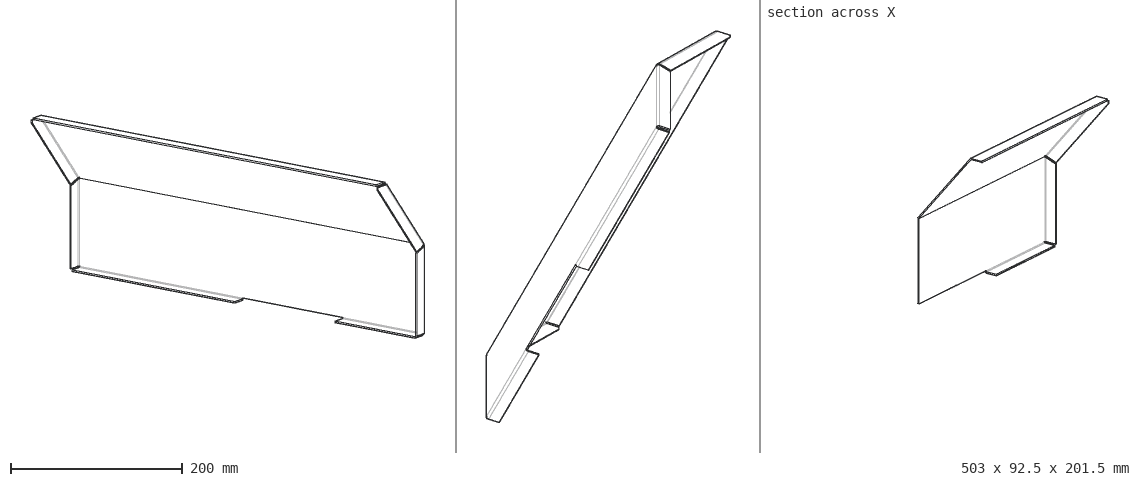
import cadquery as cq
import math

length = 503.0
depth = 92.5
height = 201.5

thickness = 2.0
inner_radius = 1.0
outer_radius = inner_radius + thickness
flange_width = 16.5

lean_angle = 39.7
lean = math.radians(lean_angle)
top_rear_y = -(depth - flange_width)
knee_z = height + top_rear_y / math.tan(lean)

knee_slit = 2.0
opening_start = 239.0
opening_end = 384.0


def make_wall():
    """Bent wall with its top and bottom flanges, between the side bends."""
    outer_bottom = (0, 0)
    outer_top = (top_rear_y, height)
    inner_bottom = (-thickness, thickness)
    inner_knee = (-thickness, knee_z - thickness * math.tan(lean / 2))
    top_half_turn = (math.pi / 2 - lean) / 2
    inner_top = (top_rear_y - thickness * math.tan(top_half_turn), height - thickness)
    outline = [
        (-flange_width, 0),
        outer_bottom,
        (0, knee_z),
        outer_top,
        (-depth, height),
        (-depth, height - thickness),
        inner_top,
        inner_knee,
        inner_bottom,
        (-flange_width, thickness),
    ]
    wall_length = length - 2 * outer_radius
    wall = cq.Workplane("YZ").workplane(offset=outer_radius).polyline(outline).close().extrude(wall_length)
    bends = [
        (outer_bottom, outer_radius),
        (outer_top, outer_radius),
        (inner_bottom, inner_radius),
        (inner_top, inner_radius),
    ]
    for (y, z), radius in bends:
        wall = wall.edges("|X").edges(cq.NearestToPointSelector((length / 2, y, z))).fillet(radius)
    return wall


def make_opening():
    """Cutter that removes the bottom flange and its bend over the opening."""
    return cq.Workplane("XY").box(
        opening_end - opening_start, 2 * flange_width, outer_radius, centered=(False, True, False)
    ).translate((opening_start, 0, 0))


def flange_strip():
    """Left bend and flange, standing on the XY plane."""
    diagonal = math.sqrt(0.5)
    return (
        cq.Workplane("XY")
        .moveTo(outer_radius, 0)
        .threePointArc((outer_radius * (1 - diagonal), -outer_radius * (1 - diagonal)), (0, -outer_radius))
        .lineTo(0, -flange_width)
        .lineTo(thickness, -flange_width)
        .lineTo(thickness, -outer_radius)
        .threePointArc(
            (outer_radius - inner_radius * diagonal, -outer_radius + inner_radius * diagonal),
            (outer_radius, -thickness),
        )
        .close()
        .extrude(2 * height)
        .translate((0, 0, -height))
    )


def side_region(outline):
    """Prism over the left bend that trims a flange strip to a YZ outline."""
    return cq.Workplane("YZ").polyline(outline).close().extrude(outer_radius)


def make_left_side():
    """Lower and upper side flanges, mitred at the knee with a slit between them."""
    knee = (0, knee_z)
    miter_end = (-depth, knee_z - depth * math.tan(lean / 2))
    side_top = height - outer_radius

    lower = flange_strip().intersect(
        side_region([(0, outer_radius), knee, miter_end, (-depth, outer_radius)])
    )
    upper = flange_strip().rotate((0, 0, 0), (1, 0, 0), lean_angle).translate((0, 0, knee_z))
    upper_rear = (-(side_top - knee_z) * math.tan(lean), side_top)
    upper = upper.intersect(side_region([knee, upper_rear, (-depth, side_top), miter_end]))

    slit = (
        cq.Workplane("XY")
        .box(outer_radius, 2 * depth, knee_slit, centered=(False, True, True))
        .rotate((0, 0, 0), (1, 0, 0), lean_angle / 2)
        .translate((0, 0, knee_z))
    )
    return lower.union(upper).cut(slit)


left_side = make_left_side()
right_side = left_side.mirror("YZ").translate((length, 0, 0))
result = make_wall().cut(make_opening()).union(left_side).union(right_side)